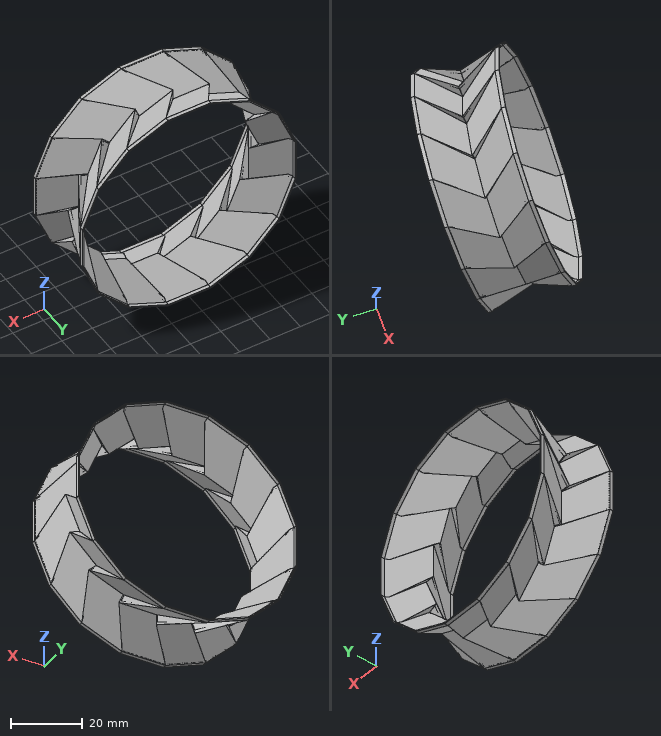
import cadquery as cq
import math

SIDES = 16
WIDTH = 26.4
RIM_WIDTH = 1.2
RIM_WALL = 0.4
OUTER_RIM_APOTHEM = 35.2
INNER_RIM_APOTHEM = OUTER_RIM_APOTHEM - RIM_WALL

WAIST_WALL = 0.8
OUTER_WAIST_APOTHEM = 28.46
INNER_WAIST_APOTHEM = OUTER_WAIST_APOTHEM - WAIST_WALL
OUTER_HEEL_SHIFT = -2.69
OUTER_TIP_SHIFT = -14.73
INNER_HEEL_SHIFT = -2.3
INNER_TIP_SHIFT = -13.98

INNER_FOLD_DEPTH = 0.73

HALF_WIDTH = WIDTH / 2
RIM_EDGE = HALF_WIDTH - RIM_WIDTH
PITCH = 2 * math.pi / SIDES


def ring_point(pleat, shift, apothem, y):
    """Point of one pleat, given sideways shift and distance from the axis."""
    angle = pleat * PITCH
    x = shift * math.cos(angle) - apothem * math.sin(angle)
    z = shift * math.sin(angle) + apothem * math.cos(angle)
    return cq.Vector(x, y, z)


def corner(pleat, apothem, y):
    """Polygon corner shared by a pleat and the following one."""
    return ring_point(pleat, -apothem * math.tan(PITCH / 2), apothem, y)


def flat_face(points):
    return cq.Face.makeFromWires(cq.Wire.makePolygon(points, close=True))


def half_faces(side, rim_apothem, waist_apothem, heel_shift, tip_shift, fold_depth):
    """Faces on one side (+1 or -1 along Y) of the waist plane."""
    end_y = side * HALF_WIDTH
    rim_y = side * RIM_EDGE
    slope = (rim_apothem - waist_apothem) / RIM_EDGE
    fold_y = side * (RIM_EDGE - fold_depth / slope)
    fold_apothem = rim_apothem - fold_depth

    faces = [flat_face([corner(i, rim_apothem, end_y) for i in range(SIDES)])]
    for i in range(SIDES):
        right_rim = corner(i - 1, rim_apothem, rim_y)
        left_rim = corner(i, rim_apothem, rim_y)
        right_end = corner(i - 1, rim_apothem, end_y)
        left_end = corner(i, rim_apothem, end_y)
        heel = ring_point(i, heel_shift, waist_apothem, 0)
        tip = ring_point(i, tip_shift, waist_apothem, 0)
        next_heel = ring_point(i + 1, heel_shift, waist_apothem, 0)
        right_fold = corner(i - 1, fold_apothem, fold_y)
        left_fold = corner(i, fold_apothem, fold_y)

        pleat = [right_rim, left_rim, tip, heel]
        if fold_depth > 0:
            pleat = [right_rim, left_rim, left_fold, tip, heel, right_fold]

        faces.append(flat_face([right_end, left_end, left_rim, right_rim]))
        faces.append(flat_face(pleat))
        faces.append(flat_face([left_fold, tip, next_heel]))
    return faces


def pleated_body(*profile):
    """Solid body bounded by pleats mirrored about the waist plane."""
    faces = half_faces(1, *profile) + half_faces(-1, *profile)
    return cq.Workplane(cq.Solid.makeSolid(cq.Shell.makeShell(faces)).fix())


outer_body = pleated_body(
    OUTER_RIM_APOTHEM, OUTER_WAIST_APOTHEM, OUTER_HEEL_SHIFT, OUTER_TIP_SHIFT, 0
)
inner_body = pleated_body(
    INNER_RIM_APOTHEM, INNER_WAIST_APOTHEM, INNER_HEEL_SHIFT, INNER_TIP_SHIFT, INNER_FOLD_DEPTH
)

result = outer_body.cut(inner_body)